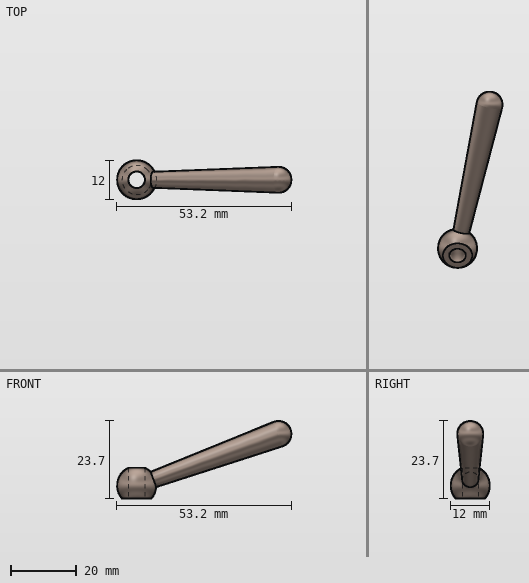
import cadquery as cq
import math

hub_radius = 6.0
base_depth = 4.0
bore_diameter = 5.0

lever_angle = 20.0
lever_length = 46.0
tip_radius = 4.0
neck_radius = 2.5

neck_position = math.sqrt(hub_radius**2 - neck_radius**2)

neck_to_tip = lever_length - neck_position
neck_edge_to_tip = math.hypot(neck_to_tip, neck_radius)
taper_angle = math.asin(tip_radius / neck_edge_to_tip) - math.atan2(neck_radius, neck_to_tip)


def make_hub():
    """Sphere with a flat base."""
    size = 2 * hub_radius
    above_base = cq.Workplane("XY", origin=(0, 0, -base_depth)).rect(size, size).extrude(size)
    return cq.Workplane("XY").sphere(hub_radius).intersect(above_base)


def make_lever():
    """Tapered stem with a tangent spherical tip, revolved about X and tilted upwards."""
    root_radius = neck_radius - neck_position * math.tan(taper_angle)
    tangent_position = lever_length - tip_radius * math.sin(taper_angle)
    tangent_radius = tip_radius * math.cos(taper_angle)
    tip_mid = tip_radius * math.sqrt(0.5)
    profile = (
        cq.Workplane("XZ")
        .lineTo(0, root_radius)
        .lineTo(tangent_position, tangent_radius)
        .threePointArc((lever_length + tip_mid, tip_mid), (lever_length + tip_radius, 0))
        .close()
    )
    lever = profile.revolve(360, (0, 0, 0), (1, 0, 0))
    return lever.rotate((0, 0, 0), (0, 1, 0), -lever_angle)


def make_bore():
    """Vertical through hole in the hub."""
    return cq.Workplane("XY").circle(bore_diameter / 2).extrude(hub_radius, both=True)


result = make_hub().union(make_lever()).cut(make_bore())